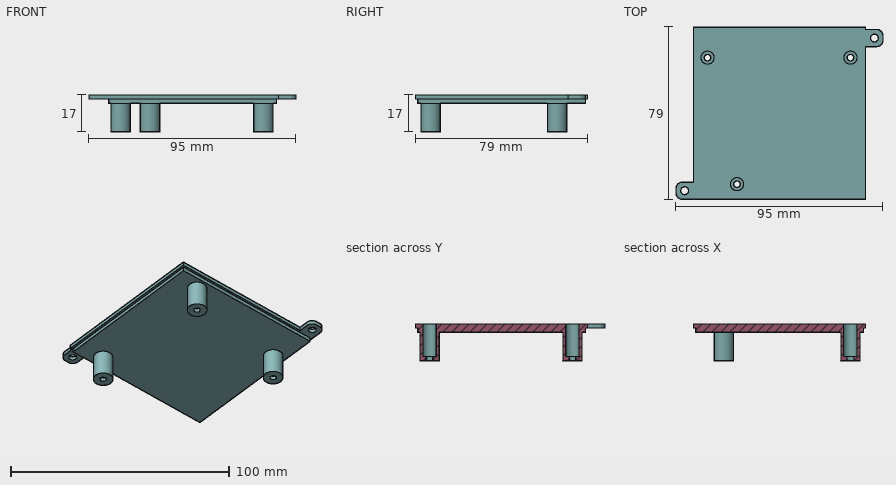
import cadquery as cq

PLATE_SIDE = 79.0
PLATE_THICKNESS = 2.0
STEP_INSET = 1.0
STEP_THICKNESS = 2.0

TOTAL_HEIGHT = 17.0
POST_DIAMETER = 9.0
SCREW_HOLE_DIAMETER = 2.9
HEAD_RECESS_DIAMETER = 6.0
POST_FLOOR = 2.0
POST_LEFT_X = -33.0
POST_MIDDLE_X = -19.5
POST_RIGHT_X = 32.5
POST_BACK_Y = 25.5
POST_FRONT_Y = -32.5

TAB_REACH = 8.0
TAB_WIDTH = 8.0
TAB_OVERLAP = 1.0
TAB_CORNER_RADIUS = 3.0
TAB_HOLE_DIAMETER = 3.5
TAB_HOLE_TO_TIP = 4.0
BACK_TAB_INSET = 1.0

HALF_SIDE = PLATE_SIDE / 2
STEP_SIDE = PLATE_SIDE - 2 * STEP_INSET
HEAD_RECESS_DEPTH = TOTAL_HEIGHT - POST_FLOOR
TAB_LENGTH = TAB_REACH + TAB_OVERLAP
TAB_MIDDLE_X = HALF_SIDE + (TAB_REACH - TAB_OVERLAP) / 2
TAB_HOLE_X = HALF_SIDE + TAB_REACH - TAB_HOLE_TO_TIP
FRONT_TAB_Y = -HALF_SIDE + TAB_WIDTH / 2
BACK_TAB_Y = HALF_SIDE - BACK_TAB_INSET - TAB_WIDTH / 2

POST_CENTERS = [
    (POST_LEFT_X, POST_BACK_Y),
    (POST_RIGHT_X, POST_BACK_Y),
    (POST_MIDDLE_X, POST_FRONT_Y),
]


def make_plate():
    """Upper square plate and the slightly smaller square step under it."""
    plate = cq.Workplane("XY").rect(PLATE_SIDE, PLATE_SIDE).extrude(-PLATE_THICKNESS)
    step = cq.Workplane("XY").rect(STEP_SIDE, STEP_SIDE).extrude(-PLATE_THICKNESS - STEP_THICKNESS)
    return plate.union(step)


def make_tab(side, center_y):
    """Tab on the +X (side = 1) or -X (side = -1) edge, with a rounded tip and a hole."""
    tip_edges = "|Z and >X" if side > 0 else "|Z and <X"
    return (
        cq.Workplane("XY")
        .center(side * TAB_MIDDLE_X, center_y)
        .rect(TAB_LENGTH, TAB_WIDTH)
        .extrude(-PLATE_THICKNESS)
        .edges(tip_edges)
        .fillet(TAB_CORNER_RADIUS)
        .cut(
            cq.Workplane("XY")
            .center(side * TAB_HOLE_X, center_y)
            .circle(TAB_HOLE_DIAMETER / 2)
            .extrude(-PLATE_THICKNESS)
        )
    )


def make_cylinders(diameter, depth):
    """One downward cylinder from the top face at every post position."""
    return cq.Workplane("XY").pushPoints(POST_CENTERS).circle(diameter / 2).extrude(-depth)


result = (
    make_plate()
    .union(make_tab(-1, FRONT_TAB_Y))
    .union(make_tab(1, BACK_TAB_Y))
    .union(make_cylinders(POST_DIAMETER, TOTAL_HEIGHT))
    .cut(make_cylinders(HEAD_RECESS_DIAMETER, HEAD_RECESS_DEPTH))
    .cut(make_cylinders(SCREW_HOLE_DIAMETER, TOTAL_HEIGHT))
)